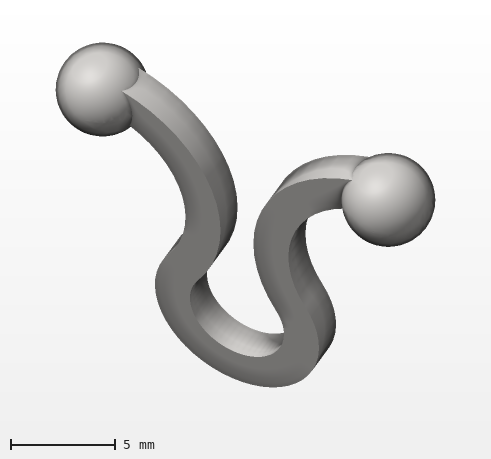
import cadquery as cq
import math

overall_width = 19.96
overall_height = 17.76
ball_diameter = 4.5
strip_width = 1.9
strip_depth = 1.74
loop_radius = 3.5
arm_radius = 6.37
arm_center_x = 8.2
arm_end_angle = 97.0

ball_radius = ball_diameter / 2
ball_x = overall_width / 2 - ball_radius
loop_outer_radius = loop_radius + strip_width / 2
ball_z = overall_height - loop_outer_radius - ball_radius
center_distance = loop_radius + arm_radius
arm_center_z = math.sqrt(center_distance**2 - arm_center_x**2)
tangent_angle = math.degrees(math.atan2(arm_center_z, arm_center_x))


def on_loop(radius, angle):
    """Point on a circle about the loop center."""
    a = math.radians(angle)
    return radius * math.cos(a), radius * math.sin(a)


def on_arm(radius, angle):
    """Point on a circle about the right arm center."""
    x, z = on_loop(radius, angle)
    return arm_center_x + x, arm_center_z + z


def mirrored(point):
    """Matching point on the left half."""
    return -point[0], point[1]


def make_strip():
    """Constant-width strip: left arm, bottom loop and right arm."""
    half = strip_width / 2
    arm_near, arm_far = arm_radius + half, arm_radius - half
    loop_inner, loop_outer = loop_radius - half, loop_radius + half
    joint_angle = 180 + tangent_angle
    middle_angle = (joint_angle + arm_end_angle) / 2

    near_end, near_middle, near_joint = (
        on_arm(arm_near, a) for a in (arm_end_angle, middle_angle, joint_angle)
    )
    far_end, far_middle, far_joint = (
        on_arm(arm_far, a) for a in (arm_end_angle, middle_angle, joint_angle)
    )
    return (
        cq.Workplane("XZ")
        .moveTo(*near_end)
        .threePointArc(near_middle, near_joint)
        .threePointArc((0, -loop_inner), mirrored(near_joint))
        .threePointArc(mirrored(near_middle), mirrored(near_end))
        .lineTo(*mirrored(far_end))
        .threePointArc(mirrored(far_middle), mirrored(far_joint))
        .threePointArc((0, -loop_outer), far_joint)
        .threePointArc(far_middle, far_end)
        .close()
        .extrude(strip_depth / 2, both=True)
    )


def make_ball(side):
    """Ball on the end of an arm; side is -1 for left and 1 for right."""
    return cq.Workplane("XZ").sphere(ball_radius).translate((side * ball_x, 0, ball_z))


result = make_strip()
for side in (-1, 1):
    result = result.union(make_ball(side))